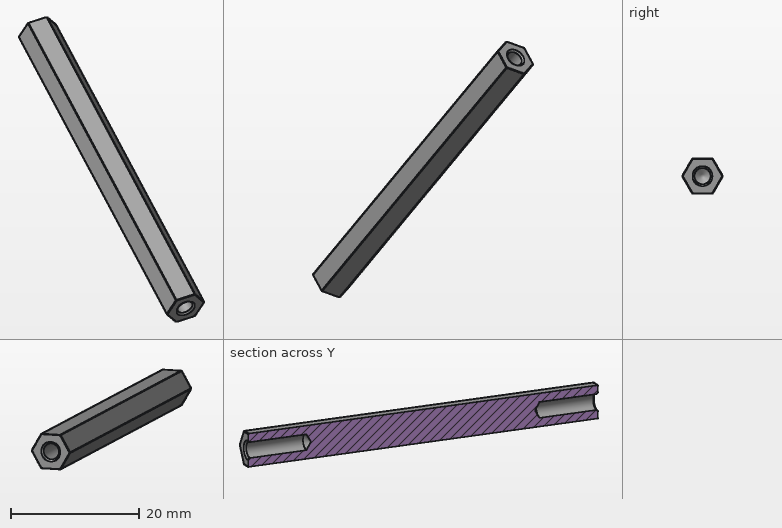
import cadquery as cq
import math

length = 60.0
across_flats = 5.5
sharp_corners = across_flats / math.cos(math.radians(30))

turned_diameter = 6.3
end_chamfer = 0.1

hole_radius = 2.5 / 2
mouth_radius = 3.1 / 2
hole_depth = 10.0
drill_point_angle = 118.0


def hexagonal_bar():
    """Bar with softened long corners and bevelled ends."""
    hexagon = cq.Workplane("YZ").polygon(6, sharp_corners).extrude(length)
    turned_stock = cq.Workplane("YZ").circle(turned_diameter / 2).extrude(length)
    return hexagon.intersect(turned_stock).faces("<X or >X").chamfer(end_chamfer)


def end_hole():
    """Cutter for the hole that opens at X = 0."""
    countersink_depth = mouth_radius - hole_radius
    point_length = hole_radius / math.tan(math.radians(drill_point_angle / 2))
    profile = [
        (0, 0),
        (0, mouth_radius),
        (countersink_depth, hole_radius),
        (hole_depth, hole_radius),
        (hole_depth + point_length, 0),
    ]
    return cq.Workplane("XY").polyline(profile).close().revolve(360, (0, 0), (1, 0))


near_hole = end_hole()
far_hole = near_hole.mirror("YZ", (length / 2, 0, 0))
result = hexagonal_bar().cut(near_hole).cut(far_hole)